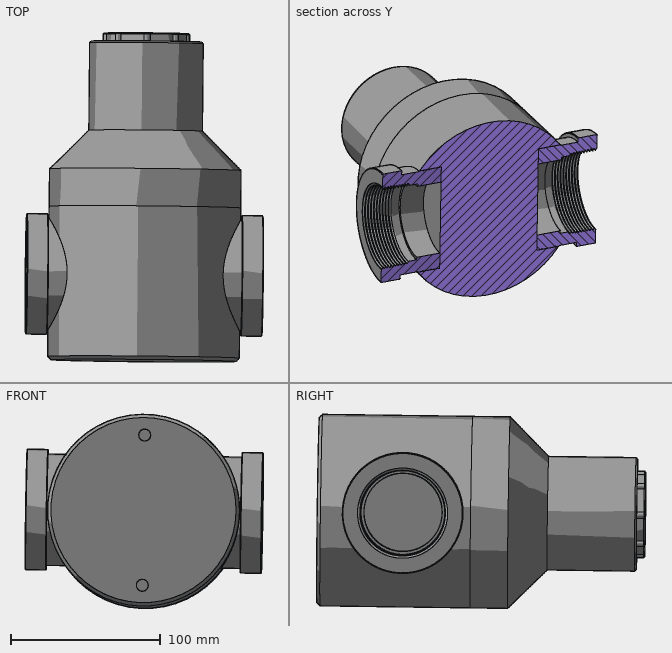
import cadquery as cq
import math


bottom_y = -57.2
joint_y = 45.2
cone_length = 26.0
neck_start_y = 96.2
shoulder_y = neck_start_y - cone_length
neck_end_y = 155.7
knob_height = 5.5

housing_radius = 128.0 / 2
bottom_chamfer = 2.25
neck_radius = housing_radius - cone_length
neck_chamfer = 1.2
spanner_hole_diameter = 7.94
spanner_hole_depth = 10.0
spanner_hole_spacing = 100.2

knob_radius = 26.7
knob_chamfer = 0.8
lobe_count = 8
lobe_radius = 2.2

port_face_x = 157.73 / 2
flange_radius = 80.62 / 2
flange_thickness = 14.3
flange_chamfer = (80.62 - 79.61) / 2
shank_radius = 74.5 / 2
bore_radius = 52.2 / 2
bore_depth = 43.0
shank_end_x = port_face_x - bore_depth

thread_mouth_radius = 60.2 / 2
thread_relief_radius = 55.91 / 2
thread_relief_depth = 26.0
thread_pitch = 2.1
thread_turns = 10
thread_flat = thread_pitch / 8
thread_taper = 1 / 32
thread_height = thread_mouth_radius - thread_relief_radius - thread_turns * thread_pitch * thread_taper

lean_x = -0.78
lean_y = 0.92
lean_z = -0.55


def axial_cylinder(radius, start_y, end_y):
    """Cylinder along +Y between two stations on the housing axis."""
    return cq.Workplane("XZ", origin=(0, start_y, 0)).circle(radius).extrude(start_y - end_y)


def port_cylinder(radius, start_x, end_x):
    """Cylinder along +X between two stations on the port axis."""
    return cq.Workplane("YZ", origin=(start_x, 0, 0)).circle(radius).extrude(end_x - start_x)


def both_sides(port):
    """The given port shape and its half-turn copy about Z, as a list."""
    return [port.rotate((0, 0, 0), (0, 0, 1), turn) for turn in (0, 180)]


def make_housing():
    """Cylinder with two port recesses and two spanner holes in its bottom face."""
    housing = axial_cylinder(housing_radius, bottom_y, joint_y)
    housing = housing.faces("<Y").chamfer(bottom_chamfer)
    recess = port_cylinder(shank_radius, shank_end_x, port_face_x)
    for side_recess in both_sides(recess):
        housing = housing.cut(side_recess)
    for side in (-1, 1):
        hole = axial_cylinder(spanner_hole_diameter / 2, bottom_y, bottom_y + spanner_hole_depth)
        housing = housing.cut(hole.translate((0, 0, side * spanner_hole_spacing / 2)))
    return housing


def make_bonnet():
    """Drum, cone and chamfered neck that close the housing."""
    profile = [
        (0, joint_y),
        (housing_radius, joint_y),
        (housing_radius, shoulder_y),
        (neck_radius, neck_start_y),
        (neck_radius, neck_end_y - neck_chamfer),
        (neck_radius - neck_chamfer, neck_end_y),
        (0, neck_end_y),
    ]
    return cq.Workplane("XY").polyline(profile).close().revolve(360, (0, 0, 0), (0, 1, 0))


def make_knob():
    """Disc with half-round grip lobes spaced evenly around its rim."""
    knob_end_y = neck_end_y + knob_height
    knob = axial_cylinder(knob_radius, neck_end_y, knob_end_y)
    knob = knob.faces(">Y").chamfer(knob_chamfer)
    lobe = axial_cylinder(lobe_radius, neck_end_y, knob_end_y)
    lobe = lobe.faces(">Y").chamfer(knob_chamfer)
    for i in range(lobe_count):
        angle = 2 * math.pi * i / lobe_count
        knob = knob.union(lobe.translate((knob_radius * math.cos(angle), 0, knob_radius * math.sin(angle))))
    return knob


def make_thread_cut():
    """Tapered bore with ring-shaped grooves standing for the thread, ending in a plain relief."""
    flank = thread_pitch / 2 - thread_flat
    profile = [(port_face_x, 0)]
    for turn in range(thread_turns):
        root_x = port_face_x - turn * thread_pitch
        root_radius = thread_mouth_radius - turn * thread_pitch * thread_taper
        crest_x = root_x - thread_flat - flank
        crest_radius = root_radius - thread_height
        profile += [
            (root_x, root_radius),
            (root_x - thread_flat, root_radius),
            (crest_x, crest_radius),
            (crest_x - thread_flat, crest_radius),
        ]
    thread_end_x = port_face_x - thread_turns * thread_pitch
    relief_end_x = port_face_x - thread_relief_depth
    profile += [
        (thread_end_x, thread_relief_radius),
        (relief_end_x, thread_relief_radius),
        (relief_end_x, 0),
    ]
    return cq.Workplane("XY").polyline(profile).close().revolve(360, (0, 0, 0), (1, 0, 0))


def make_fittings():
    """Two threaded fittings, each a flange on a shank seated in the housing."""
    flange = port_cylinder(flange_radius, port_face_x - flange_thickness, port_face_x)
    flange = flange.faces("<X or >X").chamfer(flange_chamfer)
    fitting = flange.union(port_cylinder(shank_radius, shank_end_x, port_face_x - flange_thickness))
    fitting = fitting.cut(port_cylinder(bore_radius, shank_end_x, port_face_x))
    return both_sides(fitting.cut(make_thread_cut()))


def lean(body):
    """Tip a body from the local frame to its final attitude."""
    body = body.rotate((0, 0, 0), (1, 0, 0), lean_x)
    body = body.rotate((0, 0, 0), (0, 1, 0), lean_y)
    return body.rotate((0, 0, 0), (0, 0, 1), lean_z)


housing = make_housing()
bonnet = make_bonnet()
knob = make_knob()
fittings = make_fittings()

bodies = [housing, bonnet, knob, *fittings]
result = cq.Compound.makeCompound([lean(body).val() for body in bodies])